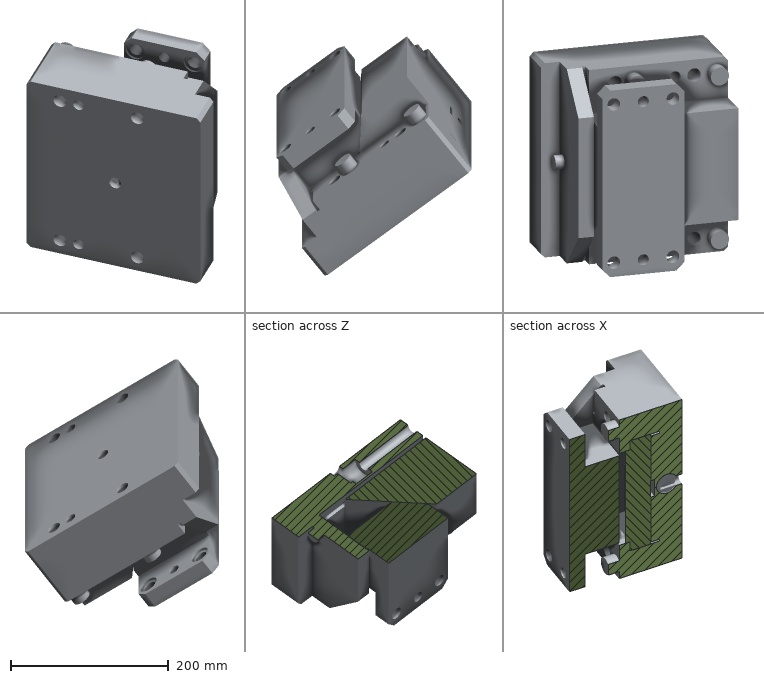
import cadquery as cq
import math


BASE_LENGTH = 235.0
BASE_WIDTH = 260.0
BASE_TOP = 90.0
BASE_CHAMFER = 5.2
STEP_X = 210.0
STEP_TOP = 47.5

WALL_FACE_X = 189.5
WALL_TOP = 128.2
WALL_TOP_HALF_WIDTH = 80.0

CHANNEL_FLOOR = 44.7
LIP_BOTTOM = 74.4
FLANGE_HALF_WIDTH = 89.5
NECK_HALF_WIDTH = 75.0

EDGE_GROOVE_WIDTH = 2.3
EDGE_GROOVE_DEPTH = 12.2
KEYWAY_WIDTH = 26.0
KEYWAY_DEPTH = 4.7

RELIEF_SLOT_WIDTH = 5.2

HOLE_ROW_Z = 109.5
BOLT_HOLE_XS = (45.0, 149.8)
BOLT_HOLE_DIAMETER = 17.7
DOWEL_HOLE_X = 70.2
DOWEL_HOLE_DIAMETER = 14.5
CROSS_HOLE_Y = 21.5
CROSS_HOLE_DIAMETER = 14.8
CHAMBER_DIAMETER = 29.6
CHAMBER_START_X = 89.5
CHAMBER_END_X = 118.3
PLUG_START_X = 122.0
CENTRE_HOLE_X = 119.9
CENTRE_HOLE_DIAMETER = 16.0
CENTRE_HOLE_DEPTH = 30.2

TOP_HEAD_XS = (15.3, 125.3)
TOP_HEAD_DIAMETER = 24.0
TOP_HEAD_HEIGHT = 15.5
END_HEAD_Y = 59.8
END_HEAD_DIAMETER = 18.7
END_HEAD_HEIGHT = 11.7

WEDGE_TOP = 134.5
WEDGE_TOP_LENGTH = 72.8
WEDGE_ANGLE = 40.0

SLIDER_TOP = 161.0
SLIDER_HALF_WIDTH = 71.8
RELIEF_BOTTOM = 124.0
RELIEF_GAP = 1.0
PLATE_BOTTOM = 138.5
PLATE_START_X = 79.8
PLATE_LENGTH = 108.7
PLATE_WIDTH = 249.5
PLATE_CHAMFER = 10.5
PLATE_HOLE_Z = 105.8
PLATE_HOLE_INSET = 15.0
PLATE_BOLT_HOLE_DIAMETER = 16.6
PLATE_COUNTERBORE_DIAMETER = 25.5
PLATE_COUNTERBORE_DEPTH = 3.0
PLATE_DOWEL_HOLE_DIAMETER = 14.5


def box(x_range, y_range, z_range):
    """Block between the given limits on each axis."""
    lows, highs = zip(x_range, y_range, z_range)
    sizes = [high - low for low, high in zip(lows, highs)]
    return cq.Workplane("XY").box(*sizes, centered=False).translate(lows)


def cylinder_along_y(diameter, x, y_range, z):
    start, end = y_range
    return cq.Workplane("XZ", origin=(x, start, z)).circle(diameter / 2).extrude(start - end)


def cylinder_along_x(diameter, x_range, y):
    """Cylinder on the symmetry plane."""
    start, end = x_range
    return cq.Workplane("YZ", origin=(start, y, 0)).circle(diameter / 2).extrude(end - start)


def slope_x(y):
    """X of the wedge slope at height y."""
    return WEDGE_TOP_LENGTH + (WEDGE_TOP - y) * math.tan(math.radians(WEDGE_ANGLE))


def symmetric_prism(profile, half_width):
    """Profile in X and Y, extruded equally to both sides of Z = 0."""
    return cq.Workplane("XY").polyline(profile).close().extrude(half_width, both=True)


def t_section(length):
    """T-shaped bar along X from the channel floor to the wedge top."""
    flange = box((0, length), (CHANNEL_FLOOR, LIP_BOTTOM), (-FLANGE_HALF_WIDTH, FLANGE_HALF_WIDTH))
    neck = box((0, length), (LIP_BOTTOM, WEDGE_TOP), (-NECK_HALF_WIDTH, NECK_HALF_WIDTH))
    return flange.union(neck)


def base_block():
    """Chamfered block with a low step at one end and the end wall beside it."""
    half_width = BASE_WIDTH / 2
    block = symmetric_prism(
        [
            (0, 0),
            (BASE_LENGTH, 0),
            (BASE_LENGTH, STEP_TOP),
            (STEP_X, STEP_TOP),
            (STEP_X, WALL_TOP),
            (WALL_FACE_X, WALL_TOP),
            (WALL_FACE_X, BASE_TOP),
            (0, BASE_TOP),
        ],
        half_width,
    )
    corners = (
        cq.Workplane("XZ")
        .rect(BASE_LENGTH, BASE_WIDTH)
        .extrude(-WALL_TOP)
        .edges("|Y")
        .chamfer(BASE_CHAMFER)
        .translate((BASE_LENGTH / 2, 0, 0))
    )
    block = block.intersect(corners)
    bevel = half_width - WALL_TOP_HALF_WIDTH
    for side in (-1, 1):
        corner = (
            cq.Workplane("YZ", origin=(WALL_FACE_X, 0, 0))
            .moveTo(WALL_TOP, side * half_width)
            .lineTo(WALL_TOP, side * WALL_TOP_HALF_WIDTH)
            .lineTo(WALL_TOP - bevel, side * half_width)
            .close()
            .extrude(STEP_X - WALL_FACE_X)
        )
        block = block.cut(corner)
    return block


def cut_channel(block):
    """T-channel up to the end wall, with its floor grooves and the two relief slots."""
    block = block.cut(t_section(WALL_FACE_X))
    keyway = box(
        (0, WALL_FACE_X),
        (CHANNEL_FLOOR - KEYWAY_DEPTH, CHANNEL_FLOOR),
        (-KEYWAY_WIDTH / 2, KEYWAY_WIDTH / 2),
    )
    edge_groove = box(
        (0, WALL_FACE_X),
        (CHANNEL_FLOOR - EDGE_GROOVE_DEPTH, CHANNEL_FLOOR),
        (FLANGE_HALF_WIDTH - EDGE_GROOVE_WIDTH, FLANGE_HALF_WIDTH),
    )
    relief_slot = box(
        (WALL_FACE_X - RELIEF_SLOT_WIDTH, WALL_FACE_X),
        (LIP_BOTTOM, BASE_TOP),
        (FLANGE_HALF_WIDTH, BASE_WIDTH / 2),
    )
    block = block.cut(keyway)
    for cutter in (edge_groove, relief_slot):
        block = block.cut(cutter).cut(cutter.mirror("XY"))
    return block


def drill_base(block):
    """Mounting and dowel holes through the base."""
    for z in (-HOLE_ROW_Z, HOLE_ROW_Z):
        for x in BOLT_HOLE_XS:
            block = block.cut(cylinder_along_y(BOLT_HOLE_DIAMETER, x, (0, BASE_TOP), z))
        block = block.cut(cylinder_along_y(DOWEL_HOLE_DIAMETER, DOWEL_HOLE_X, (0, BASE_TOP), z))
    return block


def cut_chamber(block):
    """Cross hole that widens to a chamber, and the centre hole that meets it in front of a fixed plug."""
    cross_hole = cylinder_along_x(CROSS_HOLE_DIAMETER, (0, CHAMBER_START_X), CROSS_HOLE_Y)
    chamber = cylinder_along_x(CHAMBER_DIAMETER, (CHAMBER_START_X, CHAMBER_END_X), CROSS_HOLE_Y)
    plug_end = CENTRE_HOLE_X + CENTRE_HOLE_DIAMETER
    plug = cylinder_along_x(CHAMBER_DIAMETER, (PLUG_START_X, plug_end), CROSS_HOLE_Y)
    centre_hole = cylinder_along_y(CENTRE_HOLE_DIAMETER, CENTRE_HOLE_X, (0, CENTRE_HOLE_DEPTH), 0).cut(plug)
    return block.cut(cross_hole).cut(chamber).cut(centre_hole)


def add_screw_heads(block):
    """Four heads on the upper face and one on the end wall."""
    for x in TOP_HEAD_XS:
        for z in (-HOLE_ROW_Z, HOLE_ROW_Z):
            head = cylinder_along_y(TOP_HEAD_DIAMETER, x, (BASE_TOP, BASE_TOP + TOP_HEAD_HEIGHT), z)
            block = block.union(head)
    end_head = cylinder_along_x(END_HEAD_DIAMETER, (STEP_X, STEP_X + END_HEAD_HEIGHT), END_HEAD_Y)
    return block.union(end_head)


def make_base():
    return add_screw_heads(cut_chamber(drill_base(cut_channel(base_block()))))


def make_wedge():
    """T-section bar cut off along the drive slope."""
    floor_end = slope_x(CHANNEL_FLOOR)
    beyond_slope = symmetric_prism(
        [(WEDGE_TOP_LENGTH, WEDGE_TOP), (floor_end, WEDGE_TOP), (floor_end, CHANNEL_FLOOR)],
        FLANGE_HALF_WIDTH,
    )
    return t_section(floor_end).cut(beyond_slope)


def slider_stem():
    """Stem between the wedge slope and the end wall, relieved on both sides near the plate."""
    plate_end = PLATE_START_X + PLATE_LENGTH
    relief_start = slope_x(RELIEF_BOTTOM)
    run_per_height = math.tan(math.radians(WEDGE_ANGLE))
    relief_top = RELIEF_BOTTOM + (relief_start + RELIEF_GAP - PLATE_START_X) / run_per_height
    return symmetric_prism(
        [
            (slope_x(BASE_TOP), BASE_TOP),
            (WALL_FACE_X, BASE_TOP),
            (WALL_FACE_X, RELIEF_BOTTOM),
            (plate_end, RELIEF_BOTTOM),
            (plate_end, PLATE_BOTTOM),
            (PLATE_START_X, PLATE_BOTTOM),
            (PLATE_START_X, relief_top),
            (relief_start + RELIEF_GAP, RELIEF_BOTTOM),
            (relief_start, RELIEF_BOTTOM),
        ],
        SLIDER_HALF_WIDTH,
    )


def slider_plate():
    """Chamfered plate with a dowel hole between two counterbored holes at each end."""
    middle_x = PLATE_START_X + PLATE_LENGTH / 2
    plate_y = (PLATE_BOTTOM, SLIDER_TOP)
    plate_x = (PLATE_START_X, PLATE_START_X + PLATE_LENGTH)
    plate = box(plate_x, plate_y, (-PLATE_WIDTH / 2, PLATE_WIDTH / 2)).edges("|Y").chamfer(PLATE_CHAMFER)
    bore_y = (PLATE_BOTTOM, PLATE_BOTTOM + PLATE_COUNTERBORE_DEPTH)
    bolt_offset = PLATE_LENGTH / 2 - PLATE_HOLE_INSET
    for z in (-PLATE_HOLE_Z, PLATE_HOLE_Z):
        plate = plate.cut(cylinder_along_y(PLATE_DOWEL_HOLE_DIAMETER, middle_x, plate_y, z))
        for x in (middle_x - bolt_offset, middle_x + bolt_offset):
            plate = plate.cut(cylinder_along_y(PLATE_BOLT_HOLE_DIAMETER, x, plate_y, z))
            plate = plate.cut(cylinder_along_y(PLATE_COUNTERBORE_DIAMETER, x, bore_y, z))
    return plate


def make_slider():
    return slider_stem().union(slider_plate())


base = make_base()
wedge = make_wedge()
slider = make_slider()

result = cq.Compound.makeCompound([base.val(), wedge.val(), slider.val()])